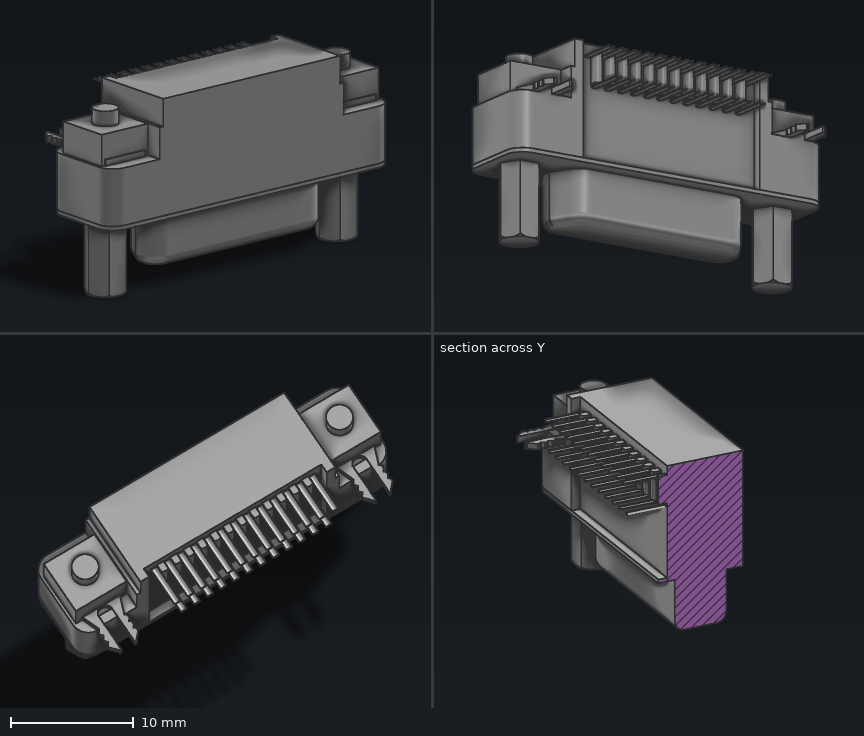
import cadquery as cq
import math


body_x = 7.80
flange_length = 30.00
flange_corner_radius = 1.50
plate_thickness = 0.36
plate_x = 7.74
plate_length = 30.03
plate_corner_radius = 1.55
flange_top_z = 5.27
shoulder_half_length = 9.77
shoulder_top_z = 7.98
housing_half_length = 9.41
housing_top_z = 10.35
recess_half_length = 8.57
recess_depth = 0.82
wall_x = -body_x / 2 + recess_depth

shell_depth = 4.60
shell_x = 4.74
shell_half_length = 9.27
shell_narrow_half_length = 7.80
shell_corner_radius = 1.67
shell_slant_angle = 30.0
shell_edge_radius = 0.90

mount_y = 12.285
mount_block_size = 4.90
peg_diameter = 2.20
peg_top_z = 9.27
hex_across_flats = 3.16
hex_bottom_z = -6.44
hex_chamfer = 0.20

lock_thickness = 0.54
lock_tip_x = -6.60
lock_slot_half_width = 0.64
lock_slot_center_x = -3.10
lock_root_half_width = 1.82
lock_neck_half_width = 1.28
tooth_peak_half_width = 1.42
tooth_valley_half_width = 1.21
tooth_count = 3
tooth_pitch = 0.67
tooth_flat = 0.18
first_valley_x = -4.07
lock_tip_half_width = 0.83
lock_tip_flat = 0.12
lock_tab_length = 4.20
lock_tab_overhang = 0.10
key_front_depth = 0.84
key_height = 0.49

pin_pitch = 1.27
upper_pin_count = 13
lower_pin_count = 12
pin_tip_x = -6.69
pin_width = 0.57
pin_sag = 0.09
pin_thickness = 0.07
upper_pin_z = 9.28
row_spacing = 2.54
post_width = 0.67
post_corner_radius = 0.25
post_bottom_z = 7.00
post_top_z = 9.54


def box(x0, x1, y0, y1, z0, z1):
    """Axis-aligned box between two opposite corners."""
    return cq.Workplane("XY").box(x1 - x0, y1 - y0, z1 - z0, centered=False).translate((x0, y0, z0))


def housing():
    """Plastic body: rounded flange, stepped central block and the open recess on the contact side."""
    half_x = body_x / 2
    flange = (
        cq.Workplane("XY")
        .workplane(offset=plate_thickness)
        .rect(body_x, flange_length)
        .extrude(flange_top_z - plate_thickness)
        .edges("|Z")
        .fillet(flange_corner_radius)
    )
    base_z = plate_thickness
    shoulder = box(-half_x, half_x, -shoulder_half_length, shoulder_half_length, base_z, shoulder_top_z)
    center = box(-half_x, half_x, -housing_half_length, housing_half_length, base_z, housing_top_z)
    recess = box(-half_x, wall_x, -recess_half_length, recess_half_length, base_z, housing_top_z)
    return flange.union(shoulder).union(center).cut(recess)


def metal_flange():
    """Thin sheet under the housing, slightly narrower in X and longer in Y."""
    return (
        cq.Workplane("XY")
        .rect(plate_x, plate_length)
        .extrude(plate_thickness)
        .edges("|Z")
        .fillet(plate_corner_radius)
    )


def shell():
    """Plug shell below the flange: slanted corners towards -X, rounded square ones towards +X."""
    half_x = shell_x / 2
    slant_y = shell_half_length - shell_narrow_half_length
    slant_end_x = -half_x + slant_y / math.tan(math.radians(shell_slant_angle))
    upper = [
        (-half_x, shell_narrow_half_length),
        (slant_end_x, shell_half_length),
        (half_x, shell_half_length),
    ]
    lower = [(x, -y) for x, y in reversed(upper)]
    return (
        cq.Workplane("XY")
        .polyline(upper + lower)
        .close()
        .extrude(-shell_depth)
        .edges("|Z and (<X or >X)")
        .fillet(shell_corner_radius)
        .faces("<Z")
        .edges()
        .fillet(shell_edge_radius)
    )


def jackscrew():
    """Hexagonal post with corners across Y and a conical chamfer at its free end."""
    corner_diameter = hex_across_flats / math.cos(math.pi / 6)
    prism = cq.Workplane("XY").polygon(6, corner_diameter).extrude(hex_bottom_z)
    prism = prism.rotate((0, 0, 0), (0, 0, 1), 90)
    envelope = (
        cq.Workplane("XY")
        .circle(corner_diameter / 2)
        .extrude(hex_bottom_z)
        .faces("<Z")
        .chamfer(hex_chamfer)
    )
    return prism.intersect(envelope)


def prong_edge():
    """Outer edge of the +Y prong, from the block face to the tip."""
    points = [(-mount_block_size / 2, lock_root_half_width), (-body_x / 2, lock_neck_half_width)]
    for i in range(tooth_count):
        valley_x = first_valley_x - i * tooth_pitch
        peak_x = valley_x - tooth_pitch / 2
        points.append((valley_x, tooth_valley_half_width))
        points.append((peak_x + tooth_flat / 2, tooth_peak_half_width))
        points.append((peak_x - tooth_flat / 2, tooth_peak_half_width))
    points.append((lock_tip_x + lock_tip_flat, lock_tip_half_width))
    points.append((lock_tip_x, lock_tip_half_width))
    return points


def board_lock():
    """Forked, toothed sheet clip lying on the flange, with its tab at the +X end."""
    block_half = mount_block_size / 2
    upper = prong_edge()
    lower = [(x, -y) for x, y in reversed(upper)]
    slot_end = cq.Workplane("XY").center(lock_slot_center_x, 0).circle(lock_slot_half_width)
    slot_end = slot_end.extrude(lock_thickness)
    slot = box(lock_tip_x, lock_slot_center_x, -lock_slot_half_width, lock_slot_half_width, 0, lock_thickness)
    slot = slot.union(slot_end)
    fork = cq.Workplane("XY").polyline(upper + lower).close().extrude(lock_thickness).cut(slot)
    tab_half = lock_tab_length / 2
    tab = box(0, block_half + lock_tab_overhang, -tab_half, tab_half, 0, lock_thickness)
    key_start = -body_x / 2
    key = box(key_start, key_start + key_front_depth, -lock_slot_half_width, lock_slot_half_width, 0, key_height)
    return fork.union(tab).union(key).translate((0, 0, flange_top_z))


def mounting_end():
    """Block, peg, board lock and jackscrew of one end, centred on the Z axis."""
    half = mount_block_size / 2
    block = box(-half, half, -half, half, flange_top_z, shoulder_top_z)
    peg_height = peg_top_z - flange_top_z
    peg = cq.Workplane("XY").workplane(offset=flange_top_z).circle(peg_diameter / 2).extrude(peg_height)
    return block.union(peg).union(board_lock()).union(jackscrew())


def pin(y, z):
    """Thin trough-shaped contact tail running from the recess wall towards -X."""
    half = pin_width / 2
    top = z + (pin_sag + pin_thickness) / 2
    return (
        cq.Workplane("YZ", origin=(pin_tip_x, y, 0))
        .moveTo(-half, top)
        .threePointArc((0, top - pin_sag), (half, top))
        .lineTo(half, top - pin_thickness)
        .threePointArc((0, top - pin_sag - pin_thickness), (-half, top - pin_thickness))
        .close()
        .extrude(wall_x - pin_tip_x)
    )


def post(y):
    """Upright with rounded front corners standing against the recess wall."""
    half = post_width / 2
    upright = box(-body_x / 2, wall_x, y - half, y + half, post_bottom_z, post_top_z)
    return upright.edges("|Z and <X").fillet(post_corner_radius)


def row_positions(count):
    """Y positions of a centred row of contacts."""
    return [(i - (count - 1) / 2) * pin_pitch for i in range(count)]


result = housing().union(metal_flange()).union(shell())
for side in (-1, 1):
    result = result.union(mounting_end().translate((0, side * mount_y, 0)))
for y in row_positions(lower_pin_count):
    result = result.union(post(y)).union(pin(y, upper_pin_z - row_spacing))
for y in row_positions(upper_pin_count):
    result = result.union(pin(y, upper_pin_z))